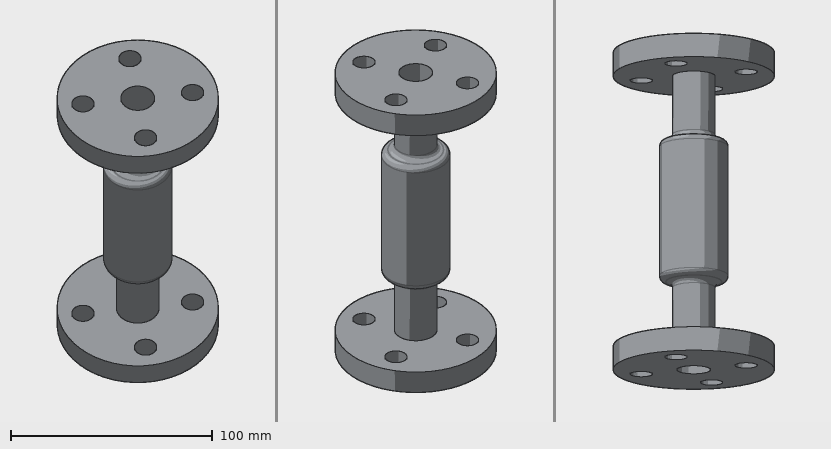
import cadquery as cq

total_length = 162.0

flange_diameter = 80.0
flange_thickness = 12.0
bolt_hole_diameter = 11.0
bolt_circle_diameter = 54.9
bolt_hole_count = 4
first_bolt_angle = 180.0 / bolt_hole_count

pipe_diameter = 21.2
bore_diameter = 16.7
body_diameter = 34.0
body_length = 72.1
shoulder_radius = 3.0

half_length = total_length / 2


def cylinder(diameter, length, base_z):
    return cq.Workplane("XY").workplane(offset=base_z).circle(diameter / 2).extrude(length)


def make_body():
    """Central body around the pipe, with rounded rims and filleted pipe junctions."""
    pipe = cylinder(pipe_diameter, total_length, -half_length)
    body = cylinder(body_diameter, body_length, -body_length / 2)
    body = body.edges("%CIRCLE").fillet(shoulder_radius)
    solid = pipe.union(body)
    corner_tolerance = 0.02
    reach = pipe_diameter / 2 + corner_tolerance
    for end_z in (-body_length / 2, body_length / 2):
        corner = cq.selectors.BoxSelector(
            (-reach, -reach, end_z - corner_tolerance),
            (reach, reach, end_z + corner_tolerance),
            boundingbox=True,
        )
        solid = solid.edges(corner).fillet(shoulder_radius)
    return solid


def make_flange(base_z):
    """Round flange with a ring of through bolt holes."""
    bolt_holes = (
        cq.Workplane("XY")
        .workplane(offset=base_z)
        .polarArray(bolt_circle_diameter / 2, first_bolt_angle, 360, bolt_hole_count, rotate=False)
        .circle(bolt_hole_diameter / 2)
        .extrude(flange_thickness)
    )
    return cylinder(flange_diameter, flange_thickness, base_z).cut(bolt_holes)


lower_flange = make_flange(-half_length)
upper_flange = make_flange(half_length - flange_thickness)
bore = cylinder(bore_diameter, total_length, -half_length)

result = make_body().union(lower_flange).union(upper_flange).cut(bore)